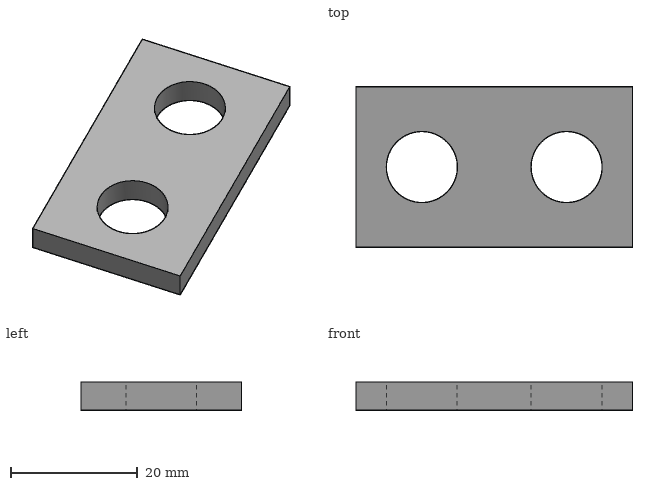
import cadquery as cq

length = 43.7
width = 25.4
thickness = 4.5

hole_diameter = 11.2
hole_spacing = 22.85

plate = cq.Workplane("XY").box(length, width, thickness)

result = (
    plate.faces(">Z")
    .workplane()
    .pushPoints([(-hole_spacing / 2, 0), (hole_spacing / 2, 0)])
    .hole(hole_diameter)
)